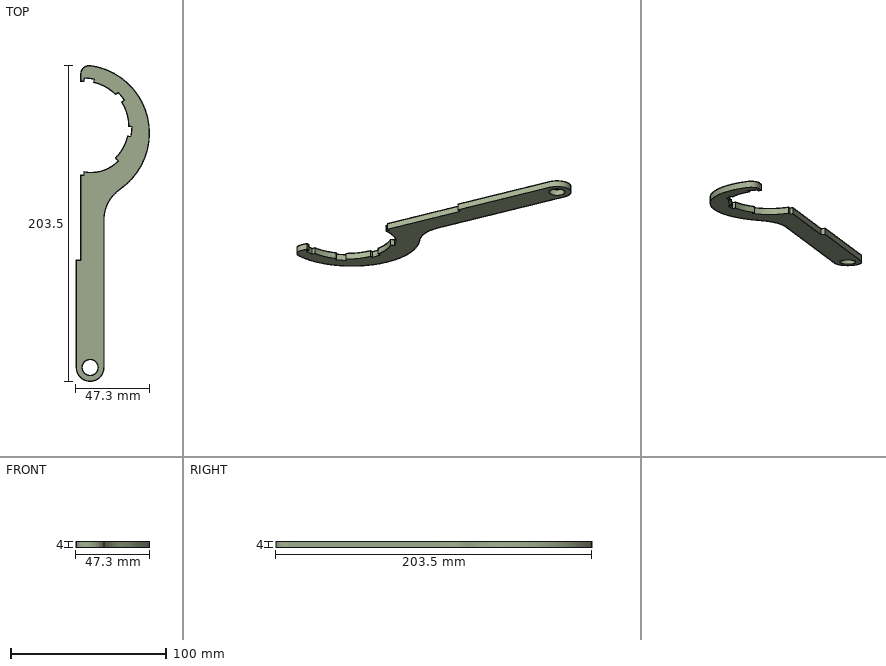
import cadquery as cq
import math

thickness = 4.0
handle_width = 18.0
handle_radius = handle_width / 2
overall_length = 203.5
hole_diameter = 10.2
shoulder_y = 69.2
shank_left_x = -6.1

outer_radius = 44.0
outer_x = 38.3 - outer_radius
tip_radius = 5.7
blend_radius = 24.0
bore_x = -4.0
bore_y = 155.5
bore_radius = 29.0

tip_x = shank_left_x + tip_radius
tip_y = overall_length - handle_radius - tip_radius
outer_y = tip_y - math.sqrt((outer_radius - tip_radius) ** 2 - (tip_x - outer_x) ** 2)

notch_width = 6.3
notch_floor_radius = 31.0
first_notch_angle = -6.5
notch_pitch = 45.0
notch_count = 3

relief_start = (18.1, 133.1)
relief_middle = (8.0, 126.8)
relief_end = (bore_x, 126.2)
step_y = 124.0


def disc(x, y, radius):
    return cq.Workplane("XY").center(x, y).circle(radius).extrude(thickness)


def make_blank():
    """Handle and hook disc, trimmed along the left side of the shank."""
    handle = (
        cq.Workplane("XY")
        .moveTo(-handle_radius, 0)
        .threePointArc((0, -handle_radius), (handle_radius, 0))
        .lineTo(handle_radius, outer_y)
        .lineTo(shank_left_x, outer_y)
        .lineTo(shank_left_x, shoulder_y)
        .lineTo(-handle_radius, shoulder_y)
        .close()
        .extrude(thickness)
    )
    disc_trim = (
        cq.Workplane("XY")
        .center(shank_left_x, outer_y)
        .rect(2 * outer_radius, 3 * outer_radius)
        .extrude(thickness)
        .translate((-outer_radius, 0, 0))
    )
    return handle.union(disc(outer_x, outer_y, outer_radius).cut(disc_trim))


def fillet_blank(blank):
    """Round the hook tip and blend the disc into the handle."""
    tip_corner_y = outer_y + math.sqrt(outer_radius**2 - (shank_left_x - outer_x) ** 2)
    neck_y = outer_y - math.sqrt(outer_radius**2 - (handle_radius - outer_x) ** 2)
    middle_z = thickness / 2
    tip_edge = cq.selectors.NearestToPointSelector((shank_left_x, tip_corner_y, middle_z))
    neck_edge = cq.selectors.NearestToPointSelector((handle_radius, neck_y, middle_z))
    blended = blank.edges("|Z").edges(neck_edge).fillet(blend_radius)
    return blended.edges("|Z").edges(tip_edge).fillet(tip_radius)


def make_notch(angle):
    """Straight-sided notch with a floor concentric with the bore."""
    slot = (
        cq.Workplane("XY")
        .rect(2 * outer_radius, notch_width)
        .extrude(thickness)
        .translate((outer_radius, 0, 0))
        .rotate((0, 0, 0), (0, 0, 1), angle)
        .translate((bore_x, bore_y, 0))
    )
    return slot.intersect(disc(bore_x, bore_y, notch_floor_radius))


def make_relief():
    """Curved relief under the bore, ending in a square step at the shank."""
    return (
        cq.Workplane("XY")
        .moveTo(bore_x, bore_y)
        .lineTo(*relief_start)
        .threePointArc(relief_middle, relief_end)
        .lineTo(bore_x, step_y)
        .lineTo(shank_left_x, step_y)
        .lineTo(shank_left_x, bore_y)
        .close()
        .extrude(thickness)
    )


result = fillet_blank(make_blank())
result = result.cut(disc(0, 0, hole_diameter / 2))
result = result.cut(disc(bore_x, bore_y, bore_radius))
for index in range(notch_count):
    result = result.cut(make_notch(first_notch_angle + index * notch_pitch))
result = result.cut(make_relief())